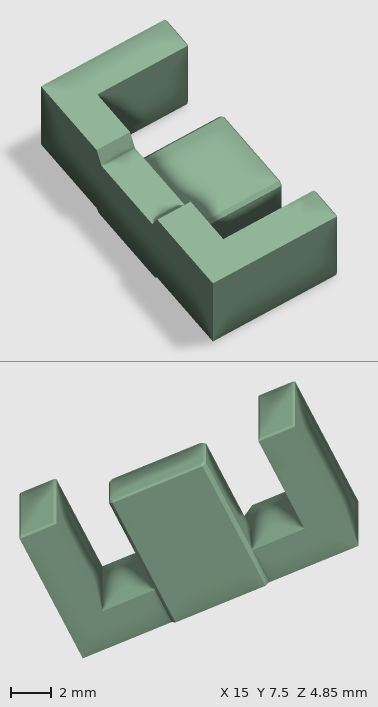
import cadquery as cq


length = 15.0
depth = 7.5
height = 4.85

web_thickness = 2.0
leg_width = 2.0

post_width = 5.3
post_height = 2.4
post_chamfer = 0.2

notch_floor_width = 4.42
notch_depth = 0.815

end_chamfer = 0.1

half_length = length / 2
half_post = post_width / 2
half_post_flat = half_post - post_chamfer
half_notch_floor = notch_floor_width / 2
leg_underside = post_chamfer
notch_floor = height - notch_depth


def extrude_along_y(outline, distance):
    """Extrude a closed XZ outline from the back face (Y = 0) towards +Y."""
    return cq.Workplane("XZ").polyline(outline).close().extrude(-distance)


def make_web():
    """Back web with the notch above and the shallow pad below, level with the post."""
    right_side = [
        (half_post_flat, 0),
        (half_post, leg_underside),
        (half_length, leg_underside),
        (half_length, height),
        (half_post, height),
        (half_notch_floor, notch_floor),
    ]
    left_side = [(-x, z) for x, z in reversed(right_side)]
    return extrude_along_y(right_side + left_side, web_thickness)


def make_leg(side):
    """Outer leg at the -X end (side = -1) or the +X end (side = 1)."""
    return (
        cq.Workplane("XY")
        .box(leg_width, depth, height - leg_underside, centered=(True, False, False))
        .faces(">Y")
        .chamfer(end_chamfer)
        .translate((side * (half_length - leg_width / 2), 0, leg_underside))
    )


def make_post():
    """Flat centre post with chamfered long edges and a chamfered end."""
    return (
        cq.Workplane("XY")
        .box(post_width, depth, post_height, centered=(True, False, False))
        .edges("|Y")
        .chamfer(post_chamfer)
        .faces(">Y")
        .chamfer(end_chamfer)
    )


result = make_web().union(make_post())
for side in (-1, 1):
    result = result.union(make_leg(side))
result = result.clean()